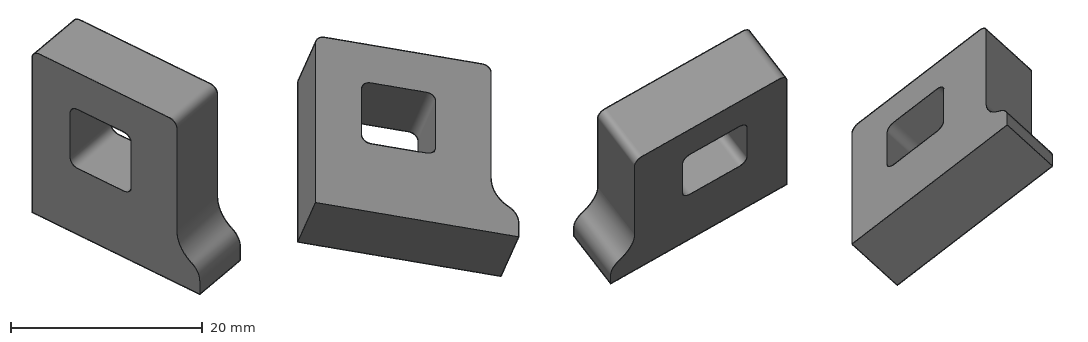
import cadquery as cq
import math

foot_length = 22.0
height = 22.0
thickness = 7.0

body_length = 19.0
corner_radius = 1.0

window_size = 8.0
window_left = 5.0
window_bottom = 9.0

concave_radius = 3.92
convex_radius = 2.25
toe_end_height = 1.83

toe_projection = foot_length - body_length
radius_sum = concave_radius + convex_radius
turn = math.acos(1 - toe_projection / radius_sum)
concave_center = (body_length + concave_radius, toe_end_height + radius_sum * math.sin(turn))
convex_center = (foot_length - convex_radius, toe_end_height)


def concave_point(angle):
    """Point on the concave arc, turned down by angle from the body side."""
    return (
        concave_center[0] - concave_radius * math.cos(angle),
        concave_center[1] - concave_radius * math.sin(angle),
    )


def convex_point(angle):
    """Point on the convex arc, turned up by angle from the toe end."""
    return (
        convex_center[0] + convex_radius * math.cos(angle),
        convex_center[1] + convex_radius * math.sin(angle),
    )


def make_body():
    """Extrude the side outline along +Y and round its two top corners."""
    outline = (
        cq.Workplane("XZ")
        .moveTo(0, 0)
        .lineTo(foot_length, 0)
        .lineTo(foot_length, toe_end_height)
        .threePointArc(convex_point(turn / 2), convex_point(turn))
        .threePointArc(concave_point(turn / 2), concave_point(0))
        .lineTo(body_length, height)
        .lineTo(0, height)
        .close()
    )
    body = outline.extrude(-thickness)
    return body.edges("|Y").edges(">Z").fillet(corner_radius)


def make_window():
    """Round-cornered square prism that passes through the full thickness."""
    return (
        cq.Workplane("XY")
        .box(window_size, thickness, window_size, centered=False)
        .edges("|Y")
        .fillet(corner_radius)
        .translate((window_left, 0, window_bottom))
    )


result = make_body().cut(make_window())